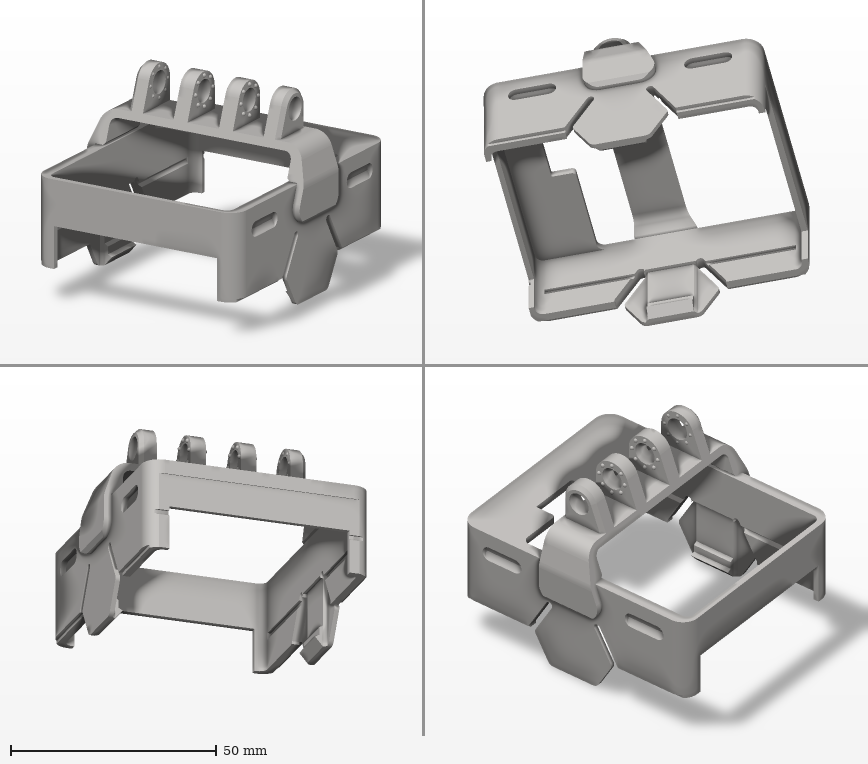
import cadquery as cq
import math

FRAME_X = 58.0
FRAME_Y = 70.0
FRAME_HEIGHT = 23.0
CORNER_RADIUS = 4.5
SIDE_WALL = 3.0
END_WALL = 1.6
CAVITY_X = FRAME_X - 2 * SIDE_WALL
CAVITY_Y = FRAME_Y - 2 * END_WALL
CAVITY_RADIUS = 2.0
OUTER_X = FRAME_X / 2
INNER_X = CAVITY_X / 2
CAVITY_END_Y = CAVITY_Y / 2

PLATE_THICKNESS = 2.0
PLATE_FRONT_Y = 18.0
PLATE_NOTCH_WIDTH = 14.0
PLATE_NOTCH_DEPTH = 6.0
PLATE_NOTCH_CENTRE_X = -6.0
NOTCH_MOUTH_RADIUS = 1.0
NOTCH_ROOT_RADIUS = 0.4

END_WALL_HEIGHT = 12.0
WINDOW_WIDTH = 46.7
REAR_LIP_HEIGHT = 3.6
REAR_LIP_DEPTH = 0.25
REAR_GROOVE_TOP = -13.1
REAR_GROOVE_HEIGHT = 1.3
REAR_GROOVE_DEPTH = 0.5
REAR_GROOVE_BEVEL = 0.4

GRIP_LENGTH = 12.0
GRIP_HEIGHT = 4.0
GRIP_DEPTH = 1.5
GRIP_CENTRE_Y = 22.0
GRIP_CENTRE_Z = -6.0

INNER_GROOVE_TOP = -13.5
INNER_GROOVE_BOTTOM = -15.2
INNER_GROOVE_DEPTH = 0.8
REBATE_DEPTH = 1.0
REBATE_HEIGHT = 0.8

TONGUE_HALF_WIDTH = 12.0
TONGUE_WIDEST_Z = -22.75
TONGUE_BOTTOM_Z = -31.0
TONGUE_ROOT_Z = -12.7
TONGUE_THICKNESS = 1.2
TONGUE_SLANT = math.radians(30)
TONGUE_SIDE_RADIUS = 1.5
TONGUE_BOTTOM_RADIUS = 2.0
RELIEF_WIDTH = 1.9
RELIEF_TOP_Z = -12.0
RELIEF_OUTER_Y = 13.9

PAD_HALF_WIDTH = 5.7
PAD_THICKNESS = 0.8
HOOK_TOP_Z = -25.4
HOOK_RISE = 0.6
HOOK_BARB_TOP_Z = -28.0
HOOK_TIP_Z = -28.6
HOOK_BODY = 1.0
HOOK_REACH = 2.1

BRACKET_X = 62.0
LEG_X = BRACKET_X / 2
BRIDGE_TOP = 9.0
BRIDGE_THICKNESS = 2.0
SHOULDER_Z = -0.1
SHOULDER_SLANT = math.radians(19)
SHOULDER_RADIUS = 5.0
BRIDGE_INNER_RADIUS = 2.0
SEAT_GAP = 0.3
SEAT_CHAMFER = 0.7
LEG_BOTTOM = -10.0
LEG_CHAMFER = 1.0
LEG_RADIUS = 4.0
LEG_REAR_Y = 9.0
LEG_FRONT_Y = -9.0

LUG_Y = 4.0
LUG_Z = 15.0
LUG_RADIUS = 5.0
LUG_HOLE_DIAMETER = 6.0
INNER_LUG_X = (4.5, 8.5)
OUTER_LUG_X = (17.3, 21.6)
LUG_CHAMFER = 1.05
BUMP_RADIUS = 0.55
BUMP_CIRCLE_RADIUS = 4.0
BUMP_COUNT = 8
BUMP_CENTRES_X = (4.5, 8.5, 17.55)


def box(x_range, y_range, z_range):
    """Axis-aligned box between the given limits."""
    size = [high - low for low, high in (x_range, y_range, z_range)]
    return cq.Workplane("XY").box(*size, centered=False).translate((x_range[0], y_range[0], z_range[0]))


def prism_x(points, x_start, x_end):
    """Polygon of (Y, Z) points swept from x_start to x_end."""
    return cq.Workplane("YZ", origin=(x_start, 0, 0)).polyline(points).close().extrude(x_end - x_start)


def prism_y(points, y_start, y_end):
    """Polygon of (X, Z) points swept from y_start to y_end."""
    return cq.Workplane("XZ", origin=(0, y_start, 0)).polyline(points).close().extrude(y_start - y_end)


def both_sides(shape):
    """The +X shape together with its mirror image on the -X side."""
    return shape.union(shape.mirror("YZ"))


def frame_shell():
    shell = box((-OUTER_X, OUTER_X), (-FRAME_Y / 2, FRAME_Y / 2), (-FRAME_HEIGHT, 0))
    shell = shell.edges("|Z").fillet(CORNER_RADIUS)
    cavity = box((-INNER_X, INNER_X), (-CAVITY_END_Y, CAVITY_END_Y), (-FRAME_HEIGHT, -PLATE_THICKNESS))
    opening = box((-INNER_X, INNER_X), (-CAVITY_END_Y, PLATE_FRONT_Y), (-PLATE_THICKNESS, 0))
    shell = shell.cut(cavity.edges("|Z").fillet(CAVITY_RADIUS))
    return shell.cut(opening.edges("|Z").fillet(CAVITY_RADIUS))


def plate_notch():
    """Notch in the front edge of the top plate, with a rounded mouth and root."""
    half = PLATE_NOTCH_WIDTH / 2
    mouth = NOTCH_MOUTH_RADIUS
    root_y = PLATE_FRONT_Y + PLATE_NOTCH_DEPTH
    outline = (
        cq.Workplane("XY", origin=(PLATE_NOTCH_CENTRE_X, 0, -PLATE_THICKNESS))
        .moveTo(-half - mouth, PLATE_FRONT_Y)
        .radiusArc((-half, PLATE_FRONT_Y + mouth), -mouth)
        .lineTo(-half, root_y)
        .lineTo(half, root_y)
        .lineTo(half, PLATE_FRONT_Y + mouth)
        .radiusArc((half + mouth, PLATE_FRONT_Y), -mouth)
        .close()
        .extrude(PLATE_THICKNESS)
    )
    return outline.edges("|Z and >Y").fillet(NOTCH_ROOT_RADIUS)


def end_windows():
    """Wide window through the lower part of the front and rear walls."""
    half = WINDOW_WIDTH / 2
    return box((-half, half), (-FRAME_Y / 2, FRAME_Y / 2), (-FRAME_HEIGHT, -END_WALL_HEIGHT))


def rear_relief():
    """Rear face set back below the lip, with a bevelled groove across it."""
    lip_face = FRAME_Y / 2
    face = lip_face - REAR_LIP_DEPTH
    floor = face - REAR_GROOVE_DEPTH
    bottom = REAR_GROOVE_TOP - REAR_GROOVE_HEIGHT
    outline = [
        (lip_face, -REAR_LIP_HEIGHT),
        (face, -REAR_LIP_HEIGHT),
        (face, REAR_GROOVE_TOP),
        (floor, REAR_GROOVE_TOP),
        (floor, bottom + REAR_GROOVE_BEVEL),
        (floor + REAR_GROOVE_BEVEL, bottom),
        (face, bottom),
        (face, -FRAME_HEIGHT),
        (lip_face, -FRAME_HEIGHT),
    ]
    return prism_x(outline, -OUTER_X, OUTER_X)


def grip_slot(centre_y):
    """Blind slot with round ends whose lower half slopes out to the wall face."""
    slot = (
        cq.Workplane("YZ", origin=(OUTER_X - GRIP_DEPTH, 0, 0))
        .center(centre_y, GRIP_CENTRE_Z)
        .slot2D(GRIP_LENGTH, GRIP_HEIGHT)
        .extrude(GRIP_DEPTH)
    )
    bottom = GRIP_CENTRE_Z - GRIP_HEIGHT / 2
    floor_x = OUTER_X - GRIP_DEPTH
    slope = [(floor_x, bottom), (OUTER_X, bottom), (floor_x, bottom + GRIP_DEPTH)]
    half = GRIP_LENGTH / 2
    return slot.cut(prism_y(slope, centre_y - half, centre_y + half))


def inner_groove():
    floor_x = INNER_X + INNER_GROOVE_DEPTH
    outline = [
        (INNER_X, INNER_GROOVE_TOP),
        (floor_x, INNER_GROOVE_TOP),
        (floor_x, INNER_GROOVE_BOTTOM + INNER_GROOVE_DEPTH),
        (INNER_X, INNER_GROOVE_BOTTOM),
    ]
    end_y = CAVITY_END_Y - CAVITY_RADIUS
    return prism_y(outline, -end_y, end_y)


def bottom_rebate():
    z_range = (-FRAME_HEIGHT, REBATE_HEIGHT - FRAME_HEIGHT)
    return box((OUTER_X - REBATE_DEPTH, OUTER_X), (-CAVITY_END_Y, CAVITY_END_Y), z_range)


def tongue_half_width(z):
    """Half width of the tongue at height z above its widest point."""
    return TONGUE_HALF_WIDTH - (z - TONGUE_WIDEST_Z) * math.tan(TONGUE_SLANT)


RELIEF_RADIUS = RELIEF_WIDTH / 2
RELIEF_CENTRE_Z = RELIEF_TOP_Z - RELIEF_RADIUS
RELIEF_CENTRE_Y = tongue_half_width(RELIEF_CENTRE_Z) + RELIEF_RADIUS / math.cos(TONGUE_SLANT)
RELIEF_STEP_Y = RELIEF_RADIUS * math.cos(TONGUE_SLANT)
RELIEF_STEP_Z = RELIEF_RADIUS * math.sin(TONGUE_SLANT)


def relief_slot():
    """Slanted slot on the +Y side, round at its upper end.

    It also clears the wall in the place of the tongue's side corner, which the tongue plate fills again.
    """
    tongue_edge_top = (RELIEF_CENTRE_Y - RELIEF_STEP_Y, RELIEF_CENTRE_Z - RELIEF_STEP_Z)
    wall_edge_top = (RELIEF_CENTRE_Y + RELIEF_STEP_Y, RELIEF_CENTRE_Z + RELIEF_STEP_Z)
    round_top = (RELIEF_CENTRE_Y - RELIEF_STEP_Z, RELIEF_CENTRE_Z + RELIEF_STEP_Y)
    wall_edge_bottom_z = wall_edge_top[1] - (RELIEF_OUTER_Y - wall_edge_top[0]) / math.tan(TONGUE_SLANT)
    return (
        cq.Workplane("YZ", origin=(INNER_X, 0, 0))
        .moveTo(*tongue_edge_top)
        .threePointArc(round_top, wall_edge_top)
        .lineTo(RELIEF_OUTER_Y, wall_edge_bottom_z)
        .lineTo(RELIEF_OUTER_Y, -FRAME_HEIGHT)
        .lineTo(tongue_edge_top[0], -FRAME_HEIGHT)
        .close()
        .extrude(SIDE_WALL)
    )


def tongue_recess():
    """Space behind the tongue, which leaves only its thin plate in the wall."""
    top = tongue_half_width(TONGUE_ROOT_Z)
    bottom = tongue_half_width(-FRAME_HEIGHT)
    outline = [(-top, TONGUE_ROOT_Z), (top, TONGUE_ROOT_Z), (bottom, -FRAME_HEIGHT), (-bottom, -FRAME_HEIGHT)]
    return prism_x(outline, INNER_X, OUTER_X - TONGUE_THICKNESS)


def tongue_plate():
    """Six-sided plate of the tongue with rounded side and bottom corners."""
    top_z = RELIEF_CENTRE_Z - RELIEF_STEP_Z
    top = tongue_half_width(top_z)
    bottom = TONGUE_HALF_WIDTH - (TONGUE_WIDEST_Z - TONGUE_BOTTOM_Z) * math.tan(TONGUE_SLANT)
    outline = [
        (-top, top_z),
        (top, top_z),
        (TONGUE_HALF_WIDTH, TONGUE_WIDEST_Z),
        (bottom, TONGUE_BOTTOM_Z),
        (-bottom, TONGUE_BOTTOM_Z),
        (-TONGUE_HALF_WIDTH, TONGUE_WIDEST_Z),
    ]
    plate = prism_x(outline, OUTER_X - TONGUE_THICKNESS, OUTER_X)
    plate = plate.edges("|X and (<Y or >Y)").fillet(TONGUE_SIDE_RADIUS)
    return plate.edges("|X and <Z").fillet(TONGUE_BOTTOM_RADIUS)


def tongue_pad():
    """Thick middle of the tongue with bevelled long sides."""
    back_x = OUTER_X - TONGUE_THICKNESS
    front_x = back_x - PAD_THICKNESS
    foot = PAD_HALF_WIDTH + PAD_THICKNESS
    outline = [(back_x, -foot), (front_x, -PAD_HALF_WIDTH), (front_x, PAD_HALF_WIDTH), (back_x, foot)]
    base = cq.Workplane("XY", origin=(0, 0, TONGUE_BOTTOM_Z)).polyline(outline).close()
    return base.extrude(TONGUE_ROOT_Z - TONGUE_BOTTOM_Z)


def snap_hook():
    pad_x = OUTER_X - TONGUE_THICKNESS - PAD_THICKNESS
    body_x = pad_x - HOOK_BODY
    tip_x = pad_x - HOOK_REACH
    outline = [
        (pad_x, HOOK_TOP_Z),
        (body_x, HOOK_TOP_Z - HOOK_RISE),
        (body_x, HOOK_BARB_TOP_Z),
        (tip_x, HOOK_TIP_Z),
        (pad_x, TONGUE_BOTTOM_Z),
    ]
    return prism_y(outline, -PAD_HALF_WIDTH, PAD_HALF_WIDTH)


def build_frame():
    frame = frame_shell().cut(plate_notch()).cut(end_windows()).cut(rear_relief())
    relief = relief_slot()
    side_cuts = [inner_groove(), bottom_rebate(), relief, relief.mirror("XZ"), tongue_recess()]
    side_cuts += [grip_slot(GRIP_CENTRE_Y), grip_slot(-GRIP_CENTRE_Y)]
    for side_cut in side_cuts:
        frame = frame.cut(both_sides(side_cut))
    tongue = tongue_plate().union(tongue_pad().union(snap_hook()))
    return frame.union(both_sides(tongue))


def tangent_point(centre, radius, angle):
    return (centre[0] + radius * math.cos(angle), centre[1] + radius * math.sin(angle))


def side_profile(x_start, x_end):
    """Side outline of the bracket: lug arc above, two leg arcs below, joined by tangents."""
    lug = (LUG_Y, LUG_Z)
    rear = (LEG_REAR_Y - LEG_RADIUS, LEG_BOTTOM + LEG_RADIUS)
    front = (LEG_FRONT_Y + LEG_RADIUS, LEG_BOTTOM + LEG_RADIUS)
    run = lug[0] - front[0]
    rise = lug[1] - front[1]
    span = math.hypot(run, rise)
    contact = math.pi / 2 + math.atan2(rise, run) + math.asin((LUG_RADIUS - LEG_RADIUS) / span)
    leg_arc_middle = (contact + 1.5 * math.pi) / 2
    return (
        cq.Workplane("YZ", origin=(x_start, 0, 0))
        .moveTo(LEG_REAR_Y, LUG_Z)
        .threePointArc(tangent_point(lug, LUG_RADIUS, contact / 2), tangent_point(lug, LUG_RADIUS, contact))
        .lineTo(*tangent_point(front, LEG_RADIUS, contact))
        .threePointArc(tangent_point(front, LEG_RADIUS, leg_arc_middle), (front[0], LEG_BOTTOM))
        .lineTo(rear[0], LEG_BOTTOM)
        .threePointArc(tangent_point(rear, LEG_RADIUS, -math.pi / 4), (LEG_REAR_Y, rear[1]))
        .close()
        .extrude(x_end - x_start)
    )


def bridge_blank():
    """Bridge and legs, as deep along Y as the whole bracket."""
    top_x = LEG_X - (BRIDGE_TOP - SHOULDER_Z) * math.tan(SHOULDER_SLANT)
    outer = [
        (-LEG_X + LEG_CHAMFER, LEG_BOTTOM),
        (-LEG_X, LEG_BOTTOM + LEG_CHAMFER),
        (-LEG_X, SHOULDER_Z),
        (-top_x, BRIDGE_TOP),
        (top_x, BRIDGE_TOP),
        (LEG_X, SHOULDER_Z),
        (LEG_X, LEG_BOTTOM + LEG_CHAMFER),
        (LEG_X - LEG_CHAMFER, LEG_BOTTOM),
    ]
    blank = prism_y(outer, LEG_FRONT_Y, LEG_REAR_Y)
    shoulder_zone = cq.selectors.BoxSelector(
        (-BRACKET_X, LEG_FRONT_Y, LEG_BOTTOM / 2), (BRACKET_X, LEG_REAR_Y, 2 * BRIDGE_TOP)
    )
    blank = blank.edges("|Y").edges(shoulder_zone).fillet(SHOULDER_RADIUS)
    y_range = (LEG_FRONT_Y, LEG_REAR_Y)
    frame_space = box((-OUTER_X, OUTER_X), y_range, (LEG_BOTTOM, SEAT_GAP))
    bridge_space = box((-INNER_X, INNER_X), y_range, (SEAT_GAP, BRIDGE_TOP - BRIDGE_THICKNESS))
    bridge_space = bridge_space.edges("|Y and >Z").fillet(BRIDGE_INNER_RADIUS)
    seat_bevel = prism_y(
        [
            (-INNER_X - SEAT_CHAMFER, SEAT_GAP),
            (-INNER_X, SEAT_GAP + SEAT_CHAMFER),
            (INNER_X, SEAT_GAP + SEAT_CHAMFER),
            (INNER_X + SEAT_CHAMFER, SEAT_GAP),
        ],
        *y_range,
    )
    return blank.cut(frame_space).cut(bridge_space).cut(seat_bevel)


def lugs():
    """The two lugs on the +X half: a plain inner one and a bevelled outer one."""
    inner = side_profile(*INNER_LUG_X)
    outer = side_profile(*OUTER_LUG_X).faces(">X").chamfer(LUG_CHAMFER)
    above_bridge = box(
        (0, LEG_X), (LEG_FRONT_Y, LEG_REAR_Y), (BRIDGE_TOP - BRIDGE_THICKNESS / 2, LUG_Z + LUG_RADIUS)
    )
    return inner.union(outer).intersect(above_bridge)


def bumps():
    """Rings of small detent bumps around the hinge hole on the facing lug sides."""
    ring = cq.Workplane("XY")
    for centre_x in BUMP_CENTRES_X:
        for index in range(BUMP_COUNT):
            y, z = tangent_point((LUG_Y, LUG_Z), BUMP_CIRCLE_RADIUS, 2 * math.pi * index / BUMP_COUNT)
            ring = ring.union(cq.Workplane("XY").sphere(BUMP_RADIUS).translate((centre_x, y, z)))
    return ring


def build_bracket():
    body = bridge_blank().intersect(side_profile(-LEG_X, LEG_X))
    body = body.union(both_sides(lugs().union(bumps())))
    hinge_hole = (
        cq.Workplane("YZ", origin=(-LEG_X, 0, 0))
        .center(LUG_Y, LUG_Z)
        .circle(LUG_HOLE_DIAMETER / 2)
        .extrude(BRACKET_X)
    )
    return body.cut(hinge_hole)


frame = build_frame()
bracket = build_bracket()
result = cq.Compound.makeCompound([frame.solids().val(), bracket.solids().val()])